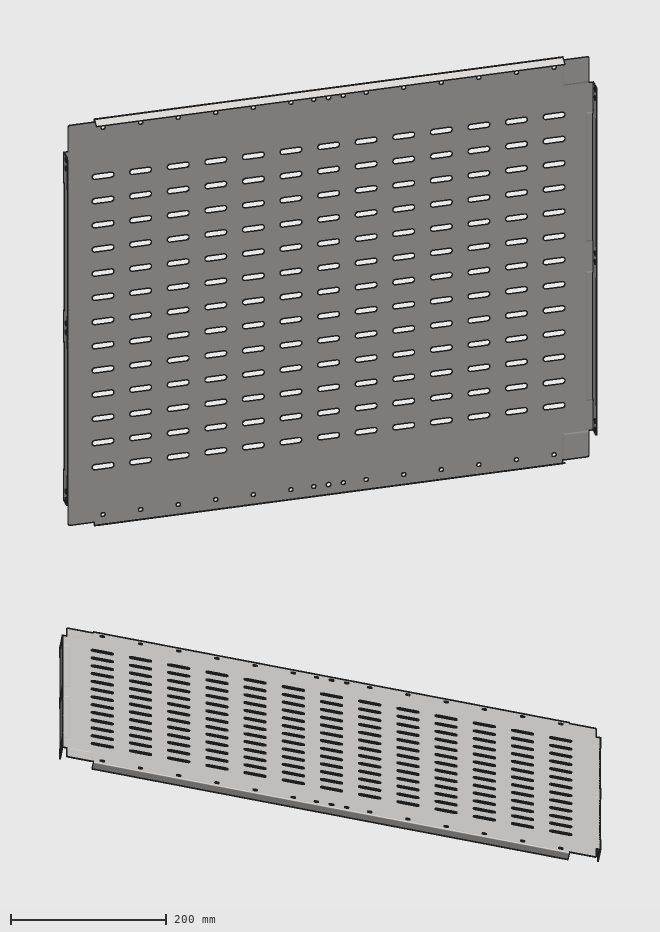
import cadquery as cq
import math

width = 705.5
height = 599.0
depth = 17.5
sheet = 1.0

wing_width = 693.5
wing_height = 589.0
flange_height = 512.0
wing_corner = 3.0
flange_corner = 3.5

lip_length = 624.0
lip_reach = 11.0
lip_slope = 30.0
lip_bend = 1.3
lip_root = 14.0

press = 0.35
ramp = 2.0
strip_width = 10.0
strip_inner_end = 22.0
strip_outer_end = 212.5
pad_margin = 7.0

slot_count = 13
slot_span_y = 600.5
slot_span_z = 427.5
slot_pitch_y = slot_span_y / (slot_count - 1)
slot_pitch_z = slot_span_z / (slot_count - 1)
slot_length = 29.0
slot_height = 8.0

row_height = 285.0
row_hole = 5.5
row_center_hole = 6.0
close_hole_offset = 20.0

flange_hole = 6.0
flange_hole_x = 10.5
pair_spacing = 13.0
pair_heights = (-244.0, 3.0, 244.0)

panel_side = width / 2
flange_end = flange_height / 2
wing_end = wing_height / 2


def block(x_range, y_range, z_range):
    sizes = [high - low for low, high in (x_range, y_range, z_range)]
    corner = (x_range[0], y_range[0], z_range[0])
    return cq.Workplane("XY").box(*sizes, centered=False).translate(corner)


def make_wings(thickness):
    wings = block((0, thickness), (-wing_width / 2, wing_width / 2), (-wing_end, wing_end))
    return wings.edges("|X").fillet(wing_corner)


def make_sheet():
    middle = block((0, sheet), (-panel_side, panel_side), (-flange_end, flange_end))
    return make_wings(sheet).union(middle)


def make_lip():
    """Top lip: bends round the top edge, then slopes down behind the sheet."""
    slope = math.radians(lip_slope)
    bend_z = height / 2 - lip_bend
    inner_bend = lip_bend - sheet
    root_z = bend_z - lip_root

    def on_bend(radius, angle):
        return (lip_bend + radius * math.cos(angle), bend_z + radius * math.sin(angle))

    end = math.pi / 2 - slope
    middle = (math.pi + end) / 2
    outer_end = on_bend(lip_bend, end)
    inner_end = on_bend(inner_bend, end)
    run_x = lip_reach - outer_end[0]
    run_z = -run_x * math.tan(slope)
    profile = (
        cq.Workplane("XZ")
        .moveTo(0, root_z)
        .lineTo(*on_bend(lip_bend, math.pi))
        .threePointArc(on_bend(lip_bend, middle), outer_end)
        .line(run_x, run_z)
        .lineTo(inner_end[0] + run_x, inner_end[1] + run_z)
        .lineTo(*inner_end)
        .threePointArc(on_bend(inner_bend, middle), on_bend(inner_bend, math.pi))
        .lineTo(sheet, root_z)
        .close()
    )
    return profile.extrude(lip_length / 2, both=True)


def make_flange():
    """Flange folded back along the -Y edge."""
    flange = block((0, depth), (-panel_side, sheet - panel_side), (-flange_end, flange_end))
    return flange.edges("|Y and >X").fillet(flange_corner)


def pressed_pad(plane, center, length, tall):
    """Flat-topped pad with sloping sides, as deep as the pressing."""
    return (
        cq.Workplane(plane)
        .center(*center)
        .rect(length, tall)
        .workplane(offset=press)
        .rect(length - 2 * ramp, tall - 2 * ramp)
        .loft(ruled=True)
    )


def press_strip(body):
    """Press the upper strip of the -Y edge back, on both the sheet and the flange."""
    tall = strip_outer_end - strip_inner_end
    middle_z = (strip_outer_end + strip_inner_end) / 2
    length = strip_width + pad_margin
    sheet_pad = pressed_pad("YZ", (strip_width - length / 2 - panel_side, middle_z), length, tall)
    flange_plane = cq.Plane(origin=(0, -panel_side, 0), xDir=(1, 0, 0), normal=(0, 1, 0))
    flange_pad = pressed_pad(flange_plane, (depth / 2, -middle_z), depth + 2 * pad_margin, tall)
    inside = block((press, depth), (press - panel_side, 0), (0, flange_end))
    backing = sheet_pad.translate((sheet, 0, 0)).union(flange_pad.translate((0, sheet, 0)))
    return body.union(backing.intersect(inside)).cut(sheet_pad).cut(flange_pad)


def press_corner(body):
    """Press the upper wing on the +Y side back, beyond the lip and flange ends."""
    start_y = lip_length / 2
    length = panel_side - start_y + pad_margin
    tall = height / 2 - flange_end + pad_margin
    pad = pressed_pad("YZ", (start_y + length / 2, flange_end + tall / 2), length, tall)
    backing = pad.translate((sheet, 0, 0)).intersect(make_wings(depth))
    return body.union(backing).cut(pad)


def on_both_ends(body, feature):
    """Apply a feature at the top, then the same one at the bottom."""
    return feature(feature(body).mirror("XY")).mirror("XY")


def cut_slots(body):
    grid = cq.Workplane("YZ").rarray(slot_pitch_y, slot_pitch_z, slot_count, slot_count)
    return body.cut(grid.slot2D(slot_length, slot_height).extrude(sheet))


def cut_hole_rows(body):
    """Small holes, a larger one at the middle and a close pair beside it."""
    middle = slot_count // 2
    row = [slot_pitch_y * (i - middle) for i in range(slot_count) if i != middle]
    row += [-close_hole_offset, close_hole_offset]
    for z in (-row_height, row_height):
        small = cq.Workplane("YZ").pushPoints([(y, z) for y in row]).circle(row_hole / 2)
        central = cq.Workplane("YZ").center(0, z).circle(row_center_hole / 2)
        body = body.cut(small.extrude(sheet)).cut(central.extrude(sheet))
    return body


def cut_flange_holes(body):
    points = []
    for z in pair_heights:
        points += [(flange_hole_x, z - pair_spacing / 2), (flange_hole_x, z + pair_spacing / 2)]
    drills = cq.Workplane("XZ").pushPoints(points).circle(flange_hole / 2)
    return body.cut(drills.extrude(panel_side, both=True))


lip = make_lip()
flange = make_flange()
result = make_sheet().union(lip).union(lip.mirror("XY"))
result = result.union(flange).union(flange.mirror("XZ"))
result = on_both_ends(result, press_strip)
result = on_both_ends(result.mirror("XZ"), press_strip).mirror("XZ")
result = on_both_ends(result, press_corner)
result = cut_slots(result)
result = cut_hole_rows(result)
result = cut_flange_holes(result)